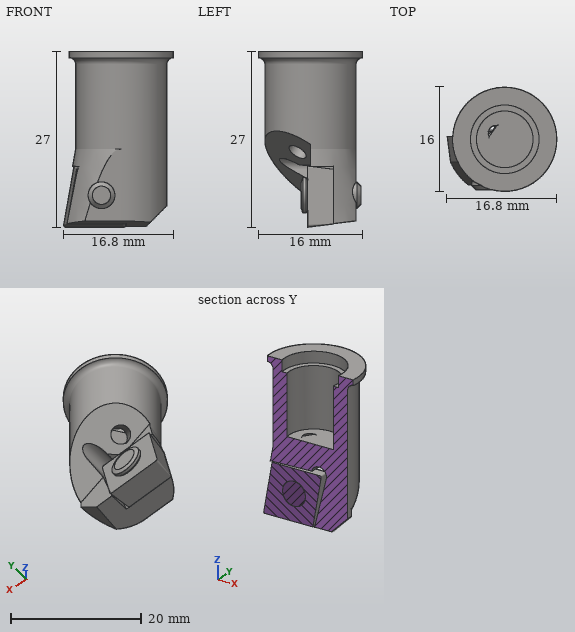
import cadquery as cq
import math


TOTAL_HEIGHT = 27.0
FLANGE_DIAMETER = 16.0
FLANGE_THICKNESS = 1.0
FLANGE_FILLET = 1.0
TUBE_RADIUS = FLANGE_DIAMETER / 2 - FLANGE_FILLET
COUNTERBORE_DIAMETER = 10.53
COUNTERBORE_DEPTH = 2.0
BORE_DIAMETER = 8.7
BORE_DEPTH = 12.72

FLARE_TOP = 12.0
LEAD_ANGLE = 10.0
CLEARANCE_ANGLE = 7.0
FOOT_STEP = 0.05
TOE_CHAMFER_ANGLE = 45.0
TOE_CHAMFER_HEIGHT = 3.32

RELIEF_AXIS_HEIGHT = 8.6
RELIEF_TILT = 41.3
RELIEF_HEADING = 132.0
COOLANT_X = -2.8
COOLANT_Y = 1.97
COOLANT_DIAMETER = 3.0
COOLANT_TILT = 45.0
COOLANT_HEADING = 145.0
COOLANT_DEPTH = 2.8

RAKE_FACE_Y = 0.45
INSERT_THICKNESS = 3.97
SEAT_Y = RAKE_FACE_Y - INSERT_THICKNESS
INSERT_WIDTH = 9.55
INSERT_HEIGHT = 9.4
INSERT_CORNER_X = -8.9
NOSE_RADIUS = 0.35
REAR_NOSE_RADIUS = 0.03

POCKET_WALL_FOOT_X = 0.68
POCKET_WALL_LEAN = 14.0
POCKET_ROOF_X = -7.02
POCKET_ROOF_Z = 9.35
POCKET_ROOF_RISE = 1.5
CORNER_RELIEF_RADIUS = 1.35
CORNER_RELIEF_Z = 9.23

SCREW_X = -3.02
SCREW_Z = 4.91
SHANK_RADIUS = 2.05
HEAD_RADIUS = 2.7
HEAD_FACE_RADIUS = 2.0
HEAD_FACE_Y = 1.43
HEAD_CROWN_Y = 1.2
HEAD_CONE_Y = 0.7
SHANK_TOP_Y = HEAD_CONE_Y - (HEAD_RADIUS - SHANK_RADIUS)
TIP_Y = -7.75
TIP_CHAMFER = 0.65

LEAD_SLOPE = math.tan(math.radians(LEAD_ANGLE))
CLEARANCE_SLOPE = math.tan(math.radians(CLEARANCE_ANGLE))
BLOCK = 2 * TOTAL_HEIGHT


def make_blank():
    """Flanged cylinder with a concave fillet under the flange."""
    flange_radius = FLANGE_DIAMETER / 2
    flange_bottom = TOTAL_HEIGHT - FLANGE_THICKNESS
    fillet_bottom = flange_bottom - FLANGE_FILLET
    arc_offset = FLANGE_FILLET * math.sqrt(0.5)
    return (
        cq.Workplane("XZ")
        .moveTo(0, 0)
        .lineTo(TUBE_RADIUS, 0)
        .lineTo(TUBE_RADIUS, fillet_bottom)
        .threePointArc(
            (flange_radius - arc_offset, fillet_bottom + arc_offset),
            (flange_radius, flange_bottom),
        )
        .lineTo(flange_radius, TOTAL_HEIGHT)
        .lineTo(0, TOTAL_HEIGHT)
        .close()
        .revolve(360, (0, 0, 0), (0, 1, 0))
    )


def make_flare():
    """Quarter cone at -X, -Y, flattened where it would stand out past the tube in -Y."""
    foot_radius = TUBE_RADIUS + FLARE_TOP * LEAD_SLOPE
    cone = (
        cq.Workplane("XZ")
        .polyline([(0, 0), (foot_radius, 0), (TUBE_RADIUS, FLARE_TOP), (0, FLARE_TOP)])
        .close()
        .revolve(360, (0, 0, 0), (0, 1, 0))
    )
    quarter = cq.Workplane("XY").box(BLOCK, TUBE_RADIUS, BLOCK, centered=False)
    return cone.intersect(quarter.translate((-BLOCK, -TUBE_RADIUS, 0)))


def make_bores():
    """Stepped blind bore from the flange end."""
    top = cq.Workplane("XY").workplane(offset=TOTAL_HEIGHT)
    counterbore = top.circle(COUNTERBORE_DIAMETER / 2).extrude(-COUNTERBORE_DEPTH)
    return counterbore.union(top.circle(BORE_DIAMETER / 2).extrude(-BORE_DEPTH))


def make_foot_cut():
    """Everything below the foot, which rises toward -Y just above the insert's lower side."""
    half = BLOCK / 2
    rise = half * CLEARANCE_SLOPE
    return (
        cq.Workplane("YZ")
        .polyline(
            [
                (RAKE_FACE_Y - half, FOOT_STEP + rise),
                (RAKE_FACE_Y + half, FOOT_STEP - rise),
                (RAKE_FACE_Y + half, -half),
                (RAKE_FACE_Y - half, -half),
            ]
        )
        .close()
        .extrude(half, both=True)
    )


def make_toe_cut():
    """Chamfer on the +X side of the foot."""
    run = TOE_CHAMFER_HEIGHT / math.tan(math.radians(TOE_CHAMFER_ANGLE))
    return (
        cq.Workplane("XZ")
        .polyline([(TUBE_RADIUS, 0), (TUBE_RADIUS, TOE_CHAMFER_HEIGHT), (TUBE_RADIUS - run, 0)])
        .close()
        .extrude(BLOCK / 2, both=True)
    )


def direction_down(tilt, heading):
    """Unit vector that points down, tilted from -Z toward a heading measured from +X."""
    tilt = math.radians(tilt)
    heading = math.radians(heading)
    return cq.Vector(
        math.sin(tilt) * math.cos(heading),
        math.sin(tilt) * math.sin(heading),
        -math.cos(tilt),
    )


RELIEF_NORMAL = direction_down(RELIEF_TILT, RELIEF_HEADING)


def relief_height(x, y):
    """Height of the relief face at (x, y)."""
    return RELIEF_AXIS_HEIGHT - (RELIEF_NORMAL.x * x + RELIEF_NORMAL.y * y) / RELIEF_NORMAL.z


def make_relief_cut():
    """Removes what lies below the relief face, on the +Y half only."""
    face = cq.Plane(origin=(0, 0, RELIEF_AXIS_HEIGHT), normal=RELIEF_NORMAL)
    below_face = cq.Workplane(face).rect(2 * BLOCK, 2 * BLOCK).extrude(BLOCK)
    plus_y_half = cq.Workplane("XY").box(BLOCK, BLOCK, BLOCK, centered=(True, False, True))
    return below_face.intersect(plus_y_half)


def make_coolant_hole():
    """Flat-ended hole, drilled up from the relief face, that just breaks into the bore floor."""
    axis = direction_down(COOLANT_TILT, COOLANT_HEADING)
    mouth = cq.Vector(COOLANT_X, COOLANT_Y, relief_height(COOLANT_X, COOLANT_Y))
    end = cq.Plane(origin=mouth - axis * COOLANT_DEPTH, normal=axis)
    return cq.Workplane(end).circle(COOLANT_DIAMETER / 2).extrude(COOLANT_DEPTH + COOLANT_DIAMETER)


def make_pocket():
    """Insert seat, open to -X, -Z and +Y, with a round relief in its inner corner."""
    lean = math.radians(POCKET_WALL_LEAN)
    roof_slope = math.tan(math.radians(POCKET_ROOF_RISE))
    relief_x = (
        POCKET_WALL_FOOT_X + CORNER_RELIEF_Z * math.tan(lean) - CORNER_RELIEF_RADIUS / math.cos(lean)
    )
    tangent_x = relief_x + CORNER_RELIEF_RADIUS * math.cos(lean)
    tangent_z = CORNER_RELIEF_Z - CORNER_RELIEF_RADIUS * math.sin(lean)
    outside_x = -FLANGE_DIAMETER
    seat = cq.Workplane("XZ", origin=(0, SEAT_Y, 0))
    recess = (
        seat.moveTo(outside_x, 0)
        .lineTo(POCKET_WALL_FOOT_X, 0)
        .lineTo(tangent_x, tangent_z)
        .lineTo(relief_x, POCKET_ROOF_Z + (relief_x - POCKET_ROOF_X) * roof_slope)
        .lineTo(outside_x, POCKET_ROOF_Z + (outside_x - POCKET_ROOF_X) * roof_slope)
        .close()
        .extrude(-BLOCK)
    )
    corner = seat.center(relief_x, CORNER_RELIEF_Z).circle(CORNER_RELIEF_RADIUS).extrude(-BLOCK)
    return recess.union(corner)


def make_screw():
    """Countersunk screw with a low conical crown and a chamfered tip."""
    profile = [
        (0, HEAD_FACE_Y),
        (HEAD_FACE_RADIUS, HEAD_FACE_Y),
        (HEAD_RADIUS, HEAD_CROWN_Y),
        (HEAD_RADIUS, HEAD_CONE_Y),
        (SHANK_RADIUS, SHANK_TOP_Y),
        (SHANK_RADIUS, TIP_Y + TIP_CHAMFER),
        (SHANK_RADIUS - TIP_CHAMFER, TIP_Y),
        (0, TIP_Y),
    ]
    screw = cq.Workplane("XY").polyline(profile).close().revolve(360, (0, 0, 0), (0, 1, 0))
    return screw.translate((SCREW_X, 0, SCREW_Z))


def insert_outline(y, inset, nose_radius):
    """Slanted, round-cornered outline of the insert at y, with its sides moved inward by inset."""
    slant = 1 / math.cos(math.radians(LEAD_ANGLE))
    bottom = inset
    top = INSERT_HEIGHT - inset
    left = INSERT_CORNER_X + inset * slant
    right = INSERT_CORNER_X + INSERT_WIDTH - inset * slant
    corners = [
        (left + bottom * LEAD_SLOPE, bottom),
        (right + bottom * LEAD_SLOPE, bottom),
        (right + top * LEAD_SLOPE, top),
        (left + top * LEAD_SLOPE, top),
    ]
    wire = cq.Wire.makePolygon([cq.Vector(x, y, z) for x, z in corners], close=True)
    return wire.fillet2D(nose_radius, wire.Vertices())


def make_insert(screw):
    """Insert with clearance on all four sides, so that it narrows toward the seat."""
    rake_outline = insert_outline(RAKE_FACE_Y, 0, NOSE_RADIUS)
    seat_outline = insert_outline(SEAT_Y, INSERT_THICKNESS * CLEARANCE_SLOPE, REAR_NOSE_RADIUS)
    plate = cq.Solid.makeLoft([rake_outline, seat_outline], True)
    return cq.Workplane(plate).cut(screw)


def make_holder(screw):
    """Tube and jaw in one piece, with all cuts and the hole that the screw fills."""
    holder = make_blank().union(make_flare())
    holder = holder.cut(make_relief_cut()).cut(make_foot_cut()).cut(make_toe_cut())
    holder = holder.cut(make_bores()).cut(make_coolant_hole()).cut(make_pocket())
    return holder.cut(screw)


screw = make_screw()
insert = make_insert(screw)
holder = make_holder(screw)

result = cq.Compound.makeCompound([holder.val(), insert.val(), screw.val()])